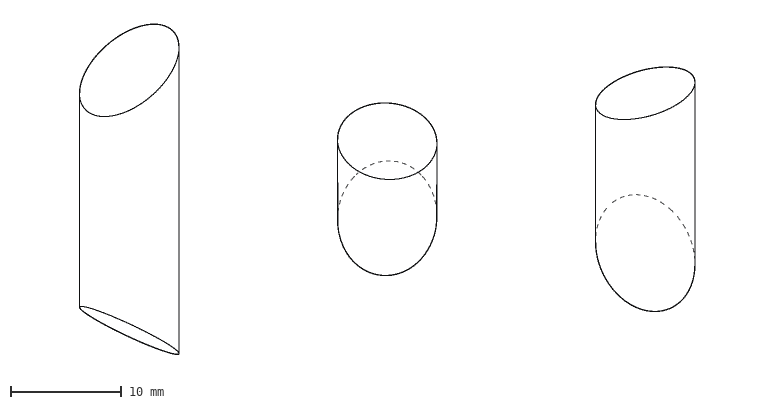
import cadquery as cq
import math

diameter = 9.0
length = 31.3
end_angle = 35.0

radius = diameter / 2
half_length = length / 2
end_drop = diameter * math.tan(math.radians(end_angle))
short_half_length = half_length - end_drop

side_profile = (
    cq.Workplane("YZ")
    .polyline([
        (radius, -half_length),
        (radius, half_length),
        (-radius, short_half_length),
        (-radius, -short_half_length),
    ])
    .close()
    .extrude(radius, both=True)
)

pin = cq.Workplane("XY").circle(radius).extrude(half_length, both=True)

result = pin.intersect(side_profile)